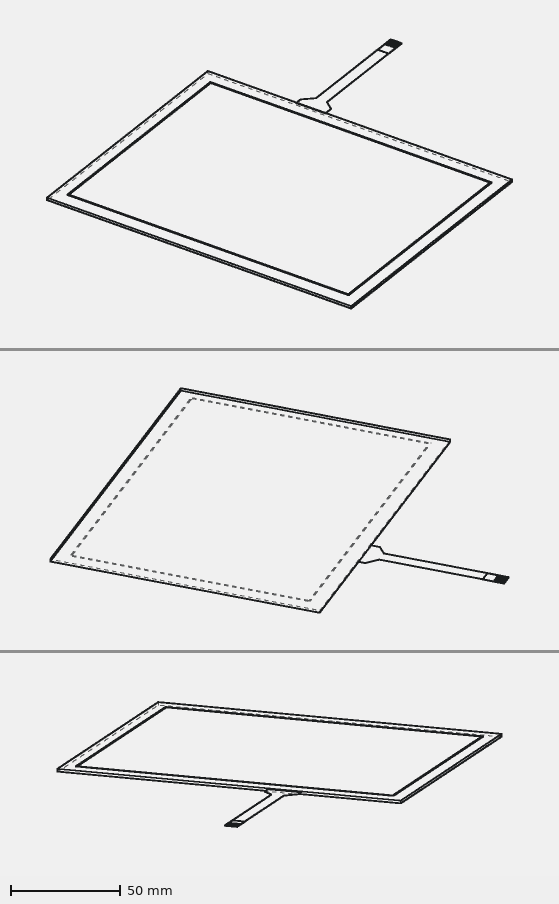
import cadquery as cq

panel_width = 168.0
panel_depth = 132.1
panel_thickness = 1.35

frame_margin_x = 6.3
frame_margin_y = 7.3
groove_width = 0.6
groove_depth = 0.1

overall_depth = 202.0
tail_width = 6.0
tail_center_x = 57.0
tail_thickness = 0.12
tail_bottom = 0.89
tail_overlap = 2.0
tail_top = tail_bottom + tail_thickness

root_left = 48.7
root_right = 64.8
root_left_length = 3.8
root_right_length = 4.8
shoulder_end = panel_depth + 8.7

pad_count = 4
pad_pitch = 1.5
pad_width = 0.8
pad_height = 0.06
pad_length = 5.0
stiffener_length = 10.5
stiffener_thickness = 0.12


def box_between(x_range, y_range, z_range):
    """Box spanning the given (low, high) range along each axis."""
    low, high = zip(x_range, y_range, z_range)
    sizes = [end - start for start, end in zip(low, high)]
    return cq.Workplane("XY").box(*sizes, centered=False).translate(low)


def frame_block(inset):
    """Block as deep as the groove, inset from the frame's outer border."""
    margin_x = frame_margin_x + inset
    margin_y = frame_margin_y + inset
    return box_between(
        (margin_x, panel_width - margin_x),
        (margin_y, panel_depth - margin_y),
        (panel_thickness - groove_depth, panel_thickness),
    )


def make_panel():
    """Rectangular plate with the frame groove in its top face."""
    plate = box_between((0, panel_width), (0, panel_depth), (0, panel_thickness))
    groove = frame_block(0).cut(frame_block(groove_width))
    return plate.cut(groove)


tail_left = tail_center_x - tail_width / 2
tail_right = tail_center_x + tail_width / 2


def make_tail():
    """Thin strip with a wide root that reaches into the panel."""
    outline = [
        (root_left, panel_depth - tail_overlap),
        (root_left, panel_depth + root_left_length),
        (tail_left, shoulder_end),
        (tail_left, overall_depth),
        (tail_right, overall_depth),
        (tail_right, shoulder_end),
        (root_right, panel_depth + root_right_length),
        (root_right, panel_depth - tail_overlap),
    ]
    return cq.Workplane("XY", origin=(0, 0, tail_bottom)).polyline(outline).close().extrude(tail_thickness)


def make_stiffener():
    """Backing strip under the tip of the tail."""
    return box_between(
        (tail_left, tail_right),
        (overall_depth - stiffener_length, overall_depth),
        (tail_bottom - stiffener_thickness, tail_bottom),
    )


def make_pads():
    """Row of contact pads, spread evenly about the tail's centerline."""
    pads = cq.Workplane("XY")
    first_center = tail_center_x - pad_pitch * (pad_count - 1) / 2
    for index in range(pad_count):
        center = first_center + index * pad_pitch
        pad = box_between(
            (center - pad_width / 2, center + pad_width / 2),
            (overall_depth - pad_length, overall_depth),
            (tail_top, tail_top + pad_height),
        )
        pads = pads.add(pad)
    return pads


result = make_panel().union(make_tail()).union(make_stiffener())
for contact_pad in make_pads().vals():
    result = result.union(cq.Workplane(contact_pad))